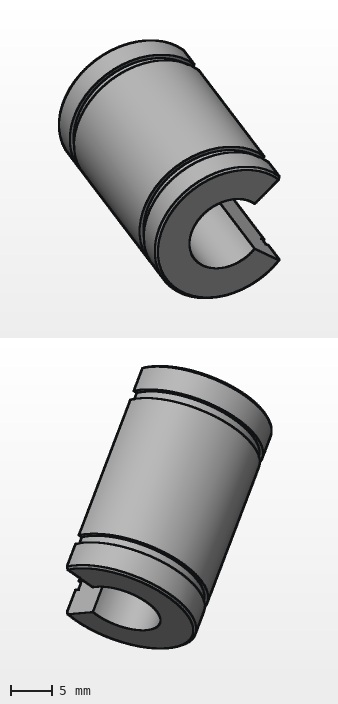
import cadquery as cq
import math

length = 29.0
outer_diameter = 19.0
bore_diameter = 10.0
groove_diameter = 18.0
groove_width = 1.25
groove_inset = 3.55
end_chamfer = 0.3

opening_half_angle = 40.0
mouth_y = 7.13

outer_radius = outer_diameter / 2
mouth_half_height = math.sqrt(outer_radius**2 - mouth_y**2)


def cylinder(diameter, start_x, width):
    """Solid cylinder along X, beginning at start_x."""
    return cq.Workplane("YZ", origin=(start_x, 0, 0)).circle(diameter / 2).extrude(width)


def ring_groove(start_x):
    """Ring of material removed for one retaining ring."""
    blank = cylinder(outer_diameter, start_x, groove_width)
    return blank.cut(cylinder(groove_diameter, start_x, groove_width))


def opening():
    """Tapered prism, from the bore axis to beyond the outer surface."""
    slope = math.tan(math.radians(opening_half_angle))
    axis_half_height = mouth_half_height - mouth_y * slope
    far_y = outer_diameter
    far_half_height = axis_half_height + far_y * slope
    corners = [
        (0, -axis_half_height),
        (far_y, -far_half_height),
        (far_y, far_half_height),
        (0, axis_half_height),
    ]
    return cq.Workplane("YZ", origin=(-length / 2, 0, 0)).polyline(corners).close().extrude(length)


sleeve = cylinder(outer_diameter, -length / 2, length)
sleeve = sleeve.faces("<X or >X").edges().chamfer(end_chamfer)
sleeve = sleeve.cut(cylinder(bore_diameter, -length / 2, length))

left_groove_x = -length / 2 + groove_inset
right_groove_x = length / 2 - groove_inset - groove_width
for groove_x in (left_groove_x, right_groove_x):
    sleeve = sleeve.cut(ring_groove(groove_x))

result = sleeve.cut(opening())